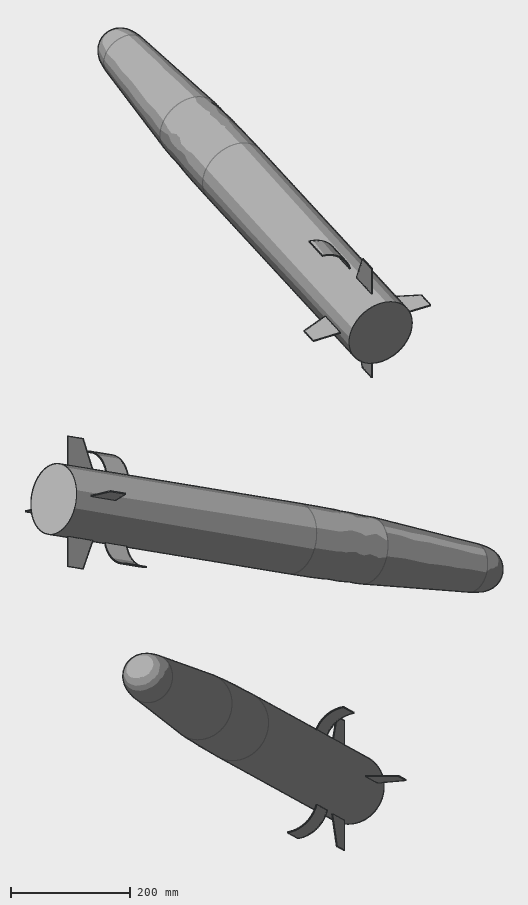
import cadquery as cq
import math

length = 968.0
body_radius = 120.0 / 2
nose_length = 56.0
nose_radius = 42.0
tip_radius = 40.0
cone_end = 287.0
cone_end_radius = 57.0
shoulder_end = 444.0

fin_span = 223.0
fin_root_front = 883.0
fin_tip_front = 904.0
fin_rear = 937.0
fin_thickness = 2.0
fin_count = 4

blade_front = 807.0
blade_rear = 855.0
blade_thickness = 2.0
blade_reach = 50.0
blade_top = 105.0
blade_axis_offset = 55.0
blade_root_height = 56.0
blade_count = 2


def make_body():
    """Rounded nose, cone, shoulder arc tangent to the cylinder, and the cylinder."""
    nose_middle = (
        tip_radius * (1 - math.cos(math.radians(45))),
        tip_radius * math.sin(math.radians(45)),
    )
    cone_direction = (cone_end - nose_length, cone_end_radius - nose_radius)
    shoulder_length = shoulder_end - cone_end
    shoulder_rise = body_radius - cone_end_radius
    arc_radius = (shoulder_length**2 + shoulder_rise**2) / (2 * shoulder_rise)
    half_length = shoulder_length / 2
    arc_drop = arc_radius - math.sqrt(arc_radius**2 - half_length**2)
    profile = (
        cq.Workplane("XY")
        .spline(
            [(0, 0), nose_middle, (nose_length, nose_radius)],
            tangents=[(0, 1), cone_direction],
        )
        .lineTo(cone_end, cone_end_radius)
        .threePointArc(
            (shoulder_end - half_length, body_radius - arc_drop),
            (shoulder_end, body_radius),
        )
        .lineTo(length, body_radius)
        .lineTo(length, 0)
        .close()
    )
    return profile.revolve(360, (0, 0, 0), (1, 0, 0))


def make_fin():
    """Upper tail fin with a swept leading edge, rooted on the body axis."""
    outline = [
        (fin_root_front, 0),
        (fin_root_front, body_radius),
        (fin_tip_front, fin_span / 2),
        (fin_rear, fin_span / 2),
        (fin_rear, 0),
    ]
    return cq.Workplane("XZ").polyline(outline).close().extrude(fin_thickness / 2, both=True)


def make_blade():
    """Upper blade, bent around an axis parallel to X and leaning towards -Y."""
    outer_radius = body_radius
    inner_radius = outer_radius - blade_thickness
    axis_height = blade_top - outer_radius
    root_angle = math.pi - math.asin((blade_root_height - axis_height) / outer_radius)
    tip_angle = math.pi - math.acos((blade_axis_offset - blade_reach) / outer_radius)
    middle_angle = (root_angle + tip_angle) / 2

    def arc_point(radius, angle):
        return (
            -blade_axis_offset - radius * math.cos(angle),
            axis_height + radius * math.sin(angle),
        )

    return (
        cq.Workplane("YZ", origin=(blade_front, 0, 0))
        .moveTo(*arc_point(outer_radius, root_angle))
        .threePointArc(arc_point(outer_radius, middle_angle), arc_point(outer_radius, tip_angle))
        .lineTo(*arc_point(inner_radius, tip_angle))
        .threePointArc(arc_point(inner_radius, middle_angle), arc_point(inner_radius, root_angle))
        .close()
        .extrude(blade_rear - blade_front)
    )


def add_around_axis(solid, feature, count):
    """Join evenly spaced copies of a feature around the X axis."""
    for index in range(count):
        solid = solid.union(feature.rotate((0, 0, 0), (1, 0, 0), index * 360 / count))
    return solid


result = make_body()
result = add_around_axis(result, make_fin(), fin_count)
result = add_around_axis(result, make_blade(), blade_count)